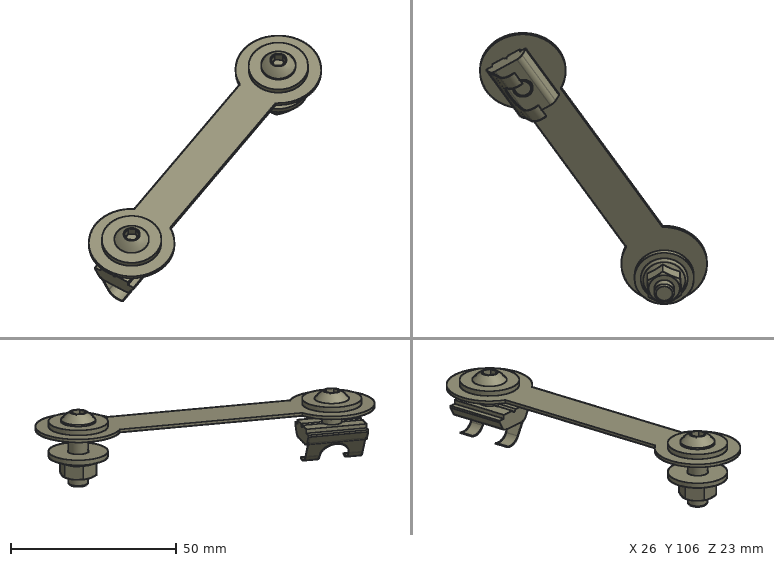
import cadquery as cq
import math


PLATE_LENGTH = 106.0
EYE_DIAMETER = 26.0
ARM_WIDTH = 13.0
PLATE_THICKNESS = 1.0
PLATE_HOLE_DIAMETER = 6.5
BOLT_SPACING = PLATE_LENGTH - EYE_DIAMETER
NUT_END_Y = BOLT_SPACING / 2
TSLOT_END_Y = -BOLT_SPACING / 2

WASHER_DIAMETER = 18.0
WASHER_HOLE_DIAMETER = 6.4
WASHER_THICKNESS = 1.6
TOP_WASHER_Z = PLATE_THICKNESS
TOP_WASHER_TOP_Z = TOP_WASHER_Z + WASHER_THICKNESS
LOWER_WASHER_TOP_Z = -6.9
LOWER_WASHER_Z = LOWER_WASHER_TOP_Z - WASHER_THICKNESS
HEAD_SINK = 0.5

SHANK_DIAMETER = 6.0
SHANK_TIP_DIAMETER = 5.0
HEAD_DIAMETER = 10.5
HEAD_TOP_DIAMETER = 5.0
HEAD_HEIGHT = 3.0
HEAD_RIM_HEIGHT = 0.5
HEAD_DOME_BULGE = 0.2
SOCKET_ACROSS_FLATS = 4.0
SOCKET_DEPTH = 2.5
SOCKET_TURN = 90.0
OVERALL_HEIGHT = 23.0
LONG_BOLT_TIP_Z = TOP_WASHER_TOP_Z + HEAD_HEIGHT - OVERALL_HEIGHT

NUT_HEIGHT = 6.0
NUT_ACROSS_FLATS = 10.0
NUT_TURN = -2.0
NUT_CHAMFER_HEIGHT = 0.5
NUT_CHAMFER_WIDTH = 1.1
FLANGE_DIAMETER = 14.2
FLANGE_RIM_HEIGHT = 0.3
FLANGE_ROUNDING = 0.7
FLANGE_CONE_DROP = 0.7
FLANGE_CONE_TIP_RADIUS = 4.9

TNUT_LENGTH = 19.0
TNUT_TOP_Z = -4.9
TNUT_HEIGHT = 5.2
TNUT_BOTTOM_Z = TNUT_TOP_Z - TNUT_HEIGHT
NECK_WIDTH = 10.0
NECK_HEIGHT = 1.3
SHOULDER_WIDTH = 14.0
SHOULDER_EDGE_HEIGHT = 0.6
FLANK_ANGLE = 60.0
TNUT_BOTTOM_ROUNDING = 2.1
GROOVE_DEPTH = 0.8
FLANK_TOP_Z = TNUT_TOP_Z - NECK_HEIGHT - SHOULDER_EDGE_HEIGHT

LEAF_WIDTH = 18.0
LEAF_THICKNESS = 0.3
LEAF_STRAIGHT_LENGTH = 8.8
LEAF_FOOT_RADIUS = 4.5
LEAF_FOOT_END_ANGLE = 20.0
LEAF_NOTCH_WIDTH = 9.0


def hexagon_corner_diameter(across_flats):
    """Diameter of the circle through the corners of a regular hexagon."""
    return 2 * across_flats / math.sqrt(3)


def hexagon_prism(across_flats, height, z):
    """Hexagonal prism with corners on the local X axis, standing on height z."""
    corner_diameter = hexagon_corner_diameter(across_flats)
    return cq.Workplane("XY", origin=(0, 0, z)).polygon(6, corner_diameter).extrude(height)


def make_plate():
    """Flat link: a straight arm with a round, bored eye at each end."""
    plate = cq.Workplane("XY").rect(ARM_WIDTH, BOLT_SPACING).extrude(PLATE_THICKNESS)
    eye_centers = [(0, NUT_END_Y), (0, TSLOT_END_Y)]
    eyes = cq.Workplane("XY").pushPoints(eye_centers).circle(EYE_DIAMETER / 2).extrude(PLATE_THICKNESS)
    holes = (
        cq.Workplane("XY").pushPoints(eye_centers).circle(PLATE_HOLE_DIAMETER / 2).extrude(PLATE_THICKNESS)
    )
    return plate.union(eyes).cut(holes)


def make_washer(y, z):
    """Flat washer lying on height z around the bolt axis at y."""
    return (
        cq.Workplane("XY", origin=(0, y, z))
        .circle(WASHER_DIAMETER / 2)
        .circle(WASHER_HOLE_DIAMETER / 2)
        .extrude(WASHER_THICKNESS)
    )


def make_recessed_washer(y, z):
    """Washer with a recess in its top face that takes the rim of a bolt head."""
    recess_z = z + WASHER_THICKNESS - HEAD_SINK
    recess = cq.Workplane("XY", origin=(0, y, recess_z)).circle(HEAD_DIAMETER / 2).extrude(HEAD_SINK)
    return make_washer(y, z).cut(recess)


def make_bolt(y, seat_z, tip_z):
    """Button-head bolt whose head rests on seat_z and whose shank ends at tip_z."""
    shank_radius = SHANK_DIAMETER / 2
    tip_radius = SHANK_TIP_DIAMETER / 2
    head_radius = HEAD_DIAMETER / 2
    head_top_radius = HEAD_TOP_DIAMETER / 2
    rim_z = seat_z + HEAD_RIM_HEIGHT
    head_top_z = seat_z + HEAD_HEIGHT

    dome_run = head_radius - head_top_radius
    dome_rise = head_top_z - rim_z
    chord = math.hypot(dome_run, dome_rise)
    dome_middle = (
        (head_radius + head_top_radius) / 2 + HEAD_DOME_BULGE * dome_rise / chord,
        (rim_z + head_top_z) / 2 + HEAD_DOME_BULGE * dome_run / chord,
    )

    profile = (
        cq.Workplane("XZ")
        .moveTo(0, tip_z)
        .lineTo(tip_radius, tip_z)
        .lineTo(shank_radius, tip_z + shank_radius - tip_radius)
        .lineTo(shank_radius, seat_z)
        .lineTo(head_radius, seat_z)
        .lineTo(head_radius, rim_z)
        .threePointArc(dome_middle, (head_top_radius, head_top_z))
        .lineTo(0, head_top_z)
        .close()
    )
    bolt = profile.revolve(360, (0, 0, 0), (0, 1, 0))
    socket = hexagon_prism(SOCKET_ACROSS_FLATS, SOCKET_DEPTH, head_top_z - SOCKET_DEPTH)
    socket = socket.rotate((0, 0, 0), (0, 0, 1), SOCKET_TURN)
    return bolt.cut(socket).translate((0, y, 0))


def make_flange_nut(y, top_z):
    """Hexagon nut, flange upward, with chamfered corners at its lower end."""
    bottom_z = top_z - NUT_HEIGHT
    hexagon = hexagon_prism(NUT_ACROSS_FLATS, NUT_HEIGHT, bottom_z)
    chamfered_round = (
        cq.Workplane("XY", origin=(0, 0, bottom_z))
        .circle(hexagon_corner_diameter(NUT_ACROSS_FLATS) / 2)
        .extrude(NUT_HEIGHT)
        .faces("<Z")
        .chamfer(NUT_CHAMFER_HEIGHT, NUT_CHAMFER_WIDTH)
    )
    hexagon = hexagon.intersect(chamfered_round).rotate((0, 0, 0), (0, 0, 1), NUT_TURN)

    flange_radius = FLANGE_DIAMETER / 2
    rim_z = top_z - FLANGE_RIM_HEIGHT
    cone_z = rim_z - FLANGE_ROUNDING
    flange = (
        cq.Workplane("XZ")
        .moveTo(0, top_z)
        .lineTo(flange_radius, top_z)
        .lineTo(flange_radius, rim_z)
        .radiusArc((flange_radius - FLANGE_ROUNDING, cone_z), FLANGE_ROUNDING)
        .lineTo(FLANGE_CONE_TIP_RADIUS, cone_z - FLANGE_CONE_DROP)
        .lineTo(0, cone_z - FLANGE_CONE_DROP)
        .close()
        .revolve(360, (0, 0, 0), (0, 1, 0))
    )
    bore = cq.Workplane("XY", origin=(0, 0, bottom_z)).circle(SHANK_DIAMETER / 2).extrude(NUT_HEIGHT)
    return hexagon.union(flange).cut(bore).translate((0, y, 0))


def make_tnut_block():
    """Nut block centred on the origin in Y, with its bore and top groove."""
    neck = NECK_WIDTH / 2
    shoulder = SHOULDER_WIDTH / 2
    shoulder_z = TNUT_TOP_Z - NECK_HEIGHT
    base = shoulder - (FLANK_TOP_Z - TNUT_BOTTOM_Z) / math.tan(math.radians(FLANK_ANGLE))
    outline = [
        (neck, TNUT_TOP_Z),
        (neck, shoulder_z),
        (shoulder, shoulder_z),
        (shoulder, FLANK_TOP_Z),
        (base, TNUT_BOTTOM_Z),
        (-base, TNUT_BOTTOM_Z),
        (-shoulder, FLANK_TOP_Z),
        (-shoulder, shoulder_z),
        (-neck, shoulder_z),
        (-neck, TNUT_TOP_Z),
        (-GROOVE_DEPTH, TNUT_TOP_Z),
        (0, TNUT_TOP_Z - GROOVE_DEPTH),
        (GROOVE_DEPTH, TNUT_TOP_Z),
    ]
    block = cq.Workplane("XZ").polyline(outline).close().extrude(TNUT_LENGTH / 2, both=True)
    block = block.edges("|Y and <Z").fillet(TNUT_BOTTOM_ROUNDING)
    bore = (
        cq.Workplane("XY", origin=(0, 0, TNUT_BOTTOM_Z)).circle(SHANK_DIAMETER / 2).extrude(TNUT_HEIGHT)
    )
    return block.cut(bore)


def make_spring_leaf():
    """Leaf lying flush in the -X flank, running down along it and curling up into two feet."""
    slope = math.radians(FLANK_ANGLE)
    foot_end = math.radians(LEAF_FOOT_END_ANGLE)
    inner_radius = LEAF_FOOT_RADIUS - LEAF_THICKNESS
    top = (-SHOULDER_WIDTH / 2, FLANK_TOP_Z)
    bend = (
        top[0] + LEAF_STRAIGHT_LENGTH * math.cos(slope),
        top[1] - LEAF_STRAIGHT_LENGTH * math.sin(slope),
    )
    foot_center = (
        bend[0] + LEAF_FOOT_RADIUS * math.sin(slope),
        bend[1] + LEAF_FOOT_RADIUS * math.cos(slope),
    )

    def foot_point(radius, angle):
        """Point of the foot arc at an angle past its lowest point."""
        return (
            foot_center[0] + radius * math.sin(angle),
            foot_center[1] - radius * math.cos(angle),
        )

    inner_top = (
        top[0] + LEAF_THICKNESS * math.sin(slope),
        top[1] + LEAF_THICKNESS * math.cos(slope),
    )
    leaf = (
        cq.Workplane("XZ")
        .moveTo(*top)
        .lineTo(*bend)
        .threePointArc(foot_point(LEAF_FOOT_RADIUS, 0), foot_point(LEAF_FOOT_RADIUS, foot_end))
        .lineTo(*foot_point(inner_radius, foot_end))
        .threePointArc(foot_point(inner_radius, 0), foot_point(inner_radius, -slope))
        .lineTo(*inner_top)
        .close()
        .extrude(LEAF_WIDTH / 2, both=True)
    )

    notch_plane = cq.Plane(
        origin=(bend[0], 0, bend[1]),
        xDir=(0, 1, 0),
        normal=(math.sin(slope), 0, math.cos(slope)),
    )
    notch_reach = 2 * LEAF_FOOT_RADIUS
    round_end = cq.Workplane(notch_plane).circle(LEAF_NOTCH_WIDTH / 2).extrude(notch_reach, both=True)
    open_end = (
        cq.Workplane(notch_plane)
        .center(0, -notch_reach / 2)
        .rect(LEAF_NOTCH_WIDTH, notch_reach)
        .extrude(notch_reach, both=True)
    )
    return leaf.cut(round_end).cut(open_end)


def make_tnut(y):
    """T-slot nut: block and spring leaf in one piece, with the leaf's outline kept on the flank."""
    return make_tnut_block().union(make_spring_leaf(), clean=False).translate((0, y, 0))


plate = make_plate()

nut_end_washers = [make_washer(NUT_END_Y, z) for z in (TOP_WASHER_Z, LOWER_WASHER_Z)]
nut_end_bolt = make_bolt(NUT_END_Y, TOP_WASHER_TOP_Z, LONG_BOLT_TIP_Z)
flange_nut = make_flange_nut(NUT_END_Y, LOWER_WASHER_Z)

tslot_end_washer = make_recessed_washer(TSLOT_END_Y, TOP_WASHER_Z)
tslot_end_bolt = make_bolt(TSLOT_END_Y, TOP_WASHER_TOP_Z - HEAD_SINK, TNUT_BOTTOM_Z)
tnut = make_tnut(TSLOT_END_Y)

result = cq.Compound.makeCompound(
    [
        plate.val(),
        *[washer.val() for washer in nut_end_washers],
        nut_end_bolt.val(),
        flange_nut.val(),
        tslot_end_washer.val(),
        tslot_end_bolt.val(),
        tnut.val(),
    ]
)